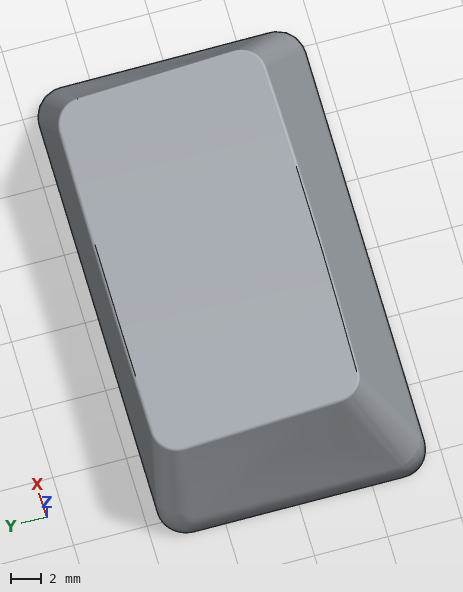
import cadquery as cq
import math

length = 32.45
width = 18.17
skirt_height = 0.95
side_radius = 1.95

top_length = 25.83
top_back_y = 8.6
top_front_y = -5.42
top_back_z = 6.1
top_front_z = 7.72
top_edge_radius = 0.2
dish_depth = 0.52

top_rise = top_front_z - top_back_z
top_run = top_back_y - top_front_y
top_slope_length = math.hypot(top_run, top_rise)
top_plane = cq.Plane(
    origin=(0, (top_back_y + top_front_y) / 2, (top_back_z + top_front_z) / 2),
    xDir=(1, 0, 0),
    normal=(0, top_rise, top_run),
)
upward = cq.selectors.DirectionMinMaxSelector(top_plane.zDir)


def make_sharp_body():
    """Straight skirt below walls that run up to the tilted top."""
    skirt = cq.Workplane("XY").rect(length, width).extrude(skirt_height)
    top_outline = cq.Workplane(top_plane).rect(top_length, top_slope_length)
    walls = cq.Solid.makeLoft([skirt.faces(">Z").wires().val(), top_outline.wires().val()], True)
    return skirt.union(cq.Workplane(walls))


def round_sides(body):
    """Round the corner edges and the bend between skirt and walls together."""
    end_edges = body.faces("<Z").edges().vals() + body.faces(upward).edges().vals()
    side_edges = [
        edge for edge in body.edges().vals() if not any(edge.isSame(end) for end in end_edges)
    ]
    return body.newObject(side_edges).fillet(side_radius)


def make_dish():
    """Shallow cylinder whose axis runs along the slope of the top."""
    half_length = top_length / 2
    dish_radius = (half_length**2 + dish_depth**2) / (2 * dish_depth)
    across_plane = cq.Plane(origin=top_plane.origin, xDir=(1, 0, 0), normal=top_plane.yDir * -1)
    return (
        cq.Workplane(across_plane)
        .center(0, dish_radius - dish_depth)
        .circle(dish_radius)
        .extrude(width, both=True)
    )


body = round_sides(make_sharp_body()).cut(make_dish())
result = body.faces(upward).edges().fillet(top_edge_radius)